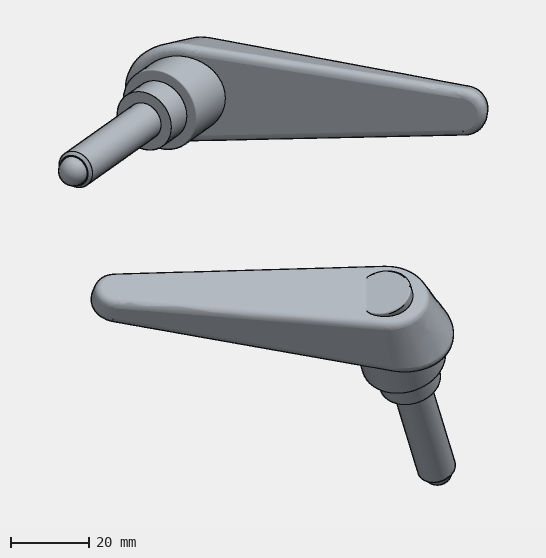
import cadquery as cq
import math


DRAFT_HEIGHT = 46.0
DRAFT_ANGLE = 13.5
ROOT_RADIUS = 16.65
TIP_RADIUS = 15.5
TIP_CENTRE_X = 77.4
TIP_LEAN = 13.5
LOWER_SLOPE = 20.0
LOWER_FACE_Y = 10.8
UPPER_SLOPE = 13.4
UPPER_FACE_Y = 26.8
ARM_FILLET = 2.0
TRIM_REACH = 138.0

HUB_RADIUS = 10.9
HUB_TOP_Y = 16.6
BOSS_RADIUS = 7.3
BOSS_TOP_Y = 27.8
RIM_FILLET = 0.4

COLLAR_RADIUS = 8.0
COLLAR_LENGTH = 8.0
ROD_RADIUS = 5.0
ROD_LENGTH = 36.2
ROD_CHAMFER = 0.8
BALL_RADIUS = 3.9
BALL_NECK = 0.3


def cylinder(radius, start_y, end_y):
    """Solid cylinder on the clamping axis, from start_y up to end_y."""
    return cq.Workplane("XZ", origin=(0, start_y, 0)).circle(radius).extrude(start_y - end_y)


def teardrop(height):
    """Outline of the blank at one height: two arcs joined by their common tangents."""
    shrink = height * math.tan(math.radians(DRAFT_ANGLE))
    root = ROOT_RADIUS - shrink
    tip = TIP_RADIUS - shrink
    tip_x = TIP_CENTRE_X - height * math.tan(math.radians(TIP_LEAN))
    along = (root - tip) / tip_x
    across = math.sqrt(1 - along**2)
    return (
        cq.Workplane("XZ", origin=(0, height, 0))
        .moveTo(root * along, root * across)
        .lineTo(tip_x + tip * along, tip * across)
        .threePointArc((tip_x + tip, 0), (tip_x + tip * along, -tip * across))
        .lineTo(root * along, -root * across)
        .threePointArc((-root, 0), (root * along, root * across))
        .close()
        .val()
    )


def sloped_wedge():
    """Space between the arm's lower and upper planes."""
    lower_rise = TRIM_REACH * math.tan(math.radians(LOWER_SLOPE))
    upper_rise = TRIM_REACH * math.tan(math.radians(UPPER_SLOPE))
    near_x = -TRIM_REACH
    meet_x = (UPPER_FACE_Y - LOWER_FACE_Y) * TRIM_REACH / (lower_rise - upper_rise)
    meet_y = LOWER_FACE_Y + meet_x * lower_rise / TRIM_REACH
    return (
        cq.Workplane("XY")
        .polyline([(near_x, LOWER_FACE_Y - lower_rise), (meet_x, meet_y), (near_x, UPPER_FACE_Y - upper_rise)])
        .close()
        .extrude(TRIM_REACH, both=True)
    )


def make_arm():
    """Trim the drafted blank and round the rims of its lower and upper faces."""
    blank = cq.Solid.makeLoft([teardrop(0), teardrop(DRAFT_HEIGHT)], True)
    arm = cq.Workplane(blank).intersect(sloped_wedge())
    lower_normal = cq.Vector(math.sin(math.radians(LOWER_SLOPE)), -math.cos(math.radians(LOWER_SLOPE)), 0)
    upper_normal = cq.Vector(-math.sin(math.radians(UPPER_SLOPE)), math.cos(math.radians(UPPER_SLOPE)), 0)
    lower_rim = arm.faces(cq.selectors.DirectionMinMaxSelector(lower_normal)).edges()
    upper_rim = arm.faces(cq.selectors.DirectionMinMaxSelector(upper_normal)).edges()
    return lower_rim.add(upper_rim).fillet(ARM_FILLET)


def make_lever():
    """Arm, hub and boss in one piece."""
    hub = cylinder(HUB_RADIUS, 0, HUB_TOP_Y).faces("<Y").edges().fillet(RIM_FILLET)
    boss = cylinder(BOSS_RADIUS, HUB_TOP_Y, BOSS_TOP_Y).faces(">Y").edges().fillet(RIM_FILLET)
    return make_arm().union(hub).union(boss)


def make_stud():
    """Collar seated on the hub, chamfered rod and ball end, as one turned profile."""
    collar_end = -COLLAR_LENGTH
    rod_end = collar_end - ROD_LENGTH
    ball_y = rod_end - BALL_NECK
    diagonal = BALL_RADIUS * math.sqrt(0.5)
    return (
        cq.Workplane("XY")
        .moveTo(0, 0)
        .lineTo(COLLAR_RADIUS, 0)
        .lineTo(COLLAR_RADIUS, collar_end)
        .lineTo(ROD_RADIUS, collar_end)
        .lineTo(ROD_RADIUS, rod_end + ROD_CHAMFER)
        .lineTo(ROD_RADIUS - ROD_CHAMFER, rod_end)
        .lineTo(BALL_RADIUS, rod_end)
        .lineTo(BALL_RADIUS, ball_y)
        .threePointArc((diagonal, ball_y - diagonal), (0, ball_y - BALL_RADIUS))
        .close()
        .revolve(360, (0, 0, 0), (0, 1, 0))
    )


lever = make_lever()
stud = make_stud()
result = cq.Compound.makeCompound([lever.val(), stud.val()])